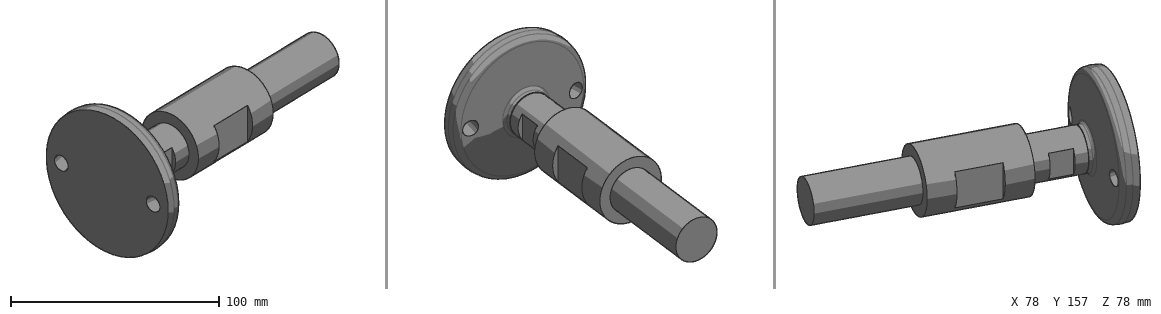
import cadquery as cq
import math

TOTAL_LENGTH = 157.0

BASE_RADIUS = 38.6
RIM_RADIUS = 78.0 / 2
RIM_HEIGHT = 4.0
SHOULDER_RADIUS = BASE_RADIUS
SHOULDER_HEIGHT = 7.2
CONE_OUTER_RADIUS = 35.8
CONE_OUTER_HEIGHT = 9.9
CONE_INNER_RADIUS = 13.8
CONE_INNER_HEIGHT = 13.3
NECK_TOP_RADIUS = 11.6
NECK_BOTTOM_RADIUS = 12.2
NECK_BOTTOM_HEIGHT = 14.8
FOOT_HEIGHT = 16.6

HOLE_DIAMETER = 8.5
HOLE_OFFSET = 29.0
DRILL_OVERRUN = 4.7
CONE_ANGLE = math.atan2(CONE_INNER_HEIGHT - CONE_OUTER_HEIGHT, CONE_OUTER_RADIUS - CONE_INNER_RADIUS)

SPINDLE_RADIUS = 24.0 / 2
SPINDLE_FLAT_START = 23.7
SPINDLE_FLAT_LENGTH = 12.7
SPINDLE_ACROSS_FLATS = 19.2

SLEEVE_RADIUS = 36.0 / 2
SLEEVE_START = 46.3
SLEEVE_LENGTH = 55.1
SLEEVE_FLAT_LENGTH = 24.6
SLEEVE_FLAT_START = SLEEVE_START + (SLEEVE_LENGTH - SLEEVE_FLAT_LENGTH) / 2
SLEEVE_ACROSS_FLATS = 29.7


def cylinder(radius, start, length):
    """Cylinder about the Y axis, from Y = start."""
    return cq.Workplane(cq.Solid.makeCylinder(radius, length, cq.Vector(0, start, 0), cq.Vector(0, 1, 0)))


def cut_wrench_flats(body, radius, across_flats, start, length):
    """Cut a pair of flats facing -X and +X into a round body."""
    size = 2 * radius
    for side in (-1, 1):
        block = cq.Workplane().box(size, length, size)
        center_x = side * (across_flats + size) / 2
        body = body.cut(block.translate((center_x, start + length / 2, 0)))
    return body


def make_foot_with_spindle():
    """Foot plate with its spindle, two wrench flats and two mounting holes."""
    profile = (
        cq.Workplane("XY")
        .lineTo(0, FOOT_HEIGHT)
        .lineTo(NECK_TOP_RADIUS, FOOT_HEIGHT)
        .lineTo(NECK_BOTTOM_RADIUS, NECK_BOTTOM_HEIGHT)
        .tangentArcPoint((CONE_INNER_RADIUS, CONE_INNER_HEIGHT), relative=False)
        .lineTo(CONE_OUTER_RADIUS, CONE_OUTER_HEIGHT)
        .tangentArcPoint((SHOULDER_RADIUS, SHOULDER_HEIGHT), relative=False)
        .lineTo(RIM_RADIUS, RIM_HEIGHT)
        .lineTo(BASE_RADIUS, 0)
        .close()
    )
    foot = profile.revolve(360, (0, 0, 0), (0, 1, 0))
    spindle = cylinder(SPINDLE_RADIUS, FOOT_HEIGHT, TOTAL_LENGTH - FOOT_HEIGHT)
    spindle = cut_wrench_flats(
        spindle, SPINDLE_RADIUS, SPINDLE_ACROSS_FLATS, SPINDLE_FLAT_START, SPINDLE_FLAT_LENGTH
    )
    body = foot.union(spindle)
    for side in (-1, 1):
        axis = cq.Vector(side * math.sin(CONE_ANGLE), math.cos(CONE_ANGLE), 0)
        start = cq.Vector(side * HOLE_OFFSET, 0, 0) - axis * DRILL_OVERRUN
        drill = cq.Solid.makeCylinder(HOLE_DIAMETER / 2, FOOT_HEIGHT + DRILL_OVERRUN, start, axis)
        body = body.cut(cq.Workplane(drill))
    return body


def make_sleeve():
    """Sleeve around the spindle, with two wrench flats."""
    sleeve = cylinder(SLEEVE_RADIUS, SLEEVE_START, SLEEVE_LENGTH)
    sleeve = sleeve.cut(cylinder(SPINDLE_RADIUS, SLEEVE_START, SLEEVE_LENGTH))
    return cut_wrench_flats(sleeve, SLEEVE_RADIUS, SLEEVE_ACROSS_FLATS, SLEEVE_FLAT_START, SLEEVE_FLAT_LENGTH)


foot_with_spindle = make_foot_with_spindle()
sleeve = make_sleeve()
result = cq.Compound.makeCompound([foot_with_spindle.val(), sleeve.val()])